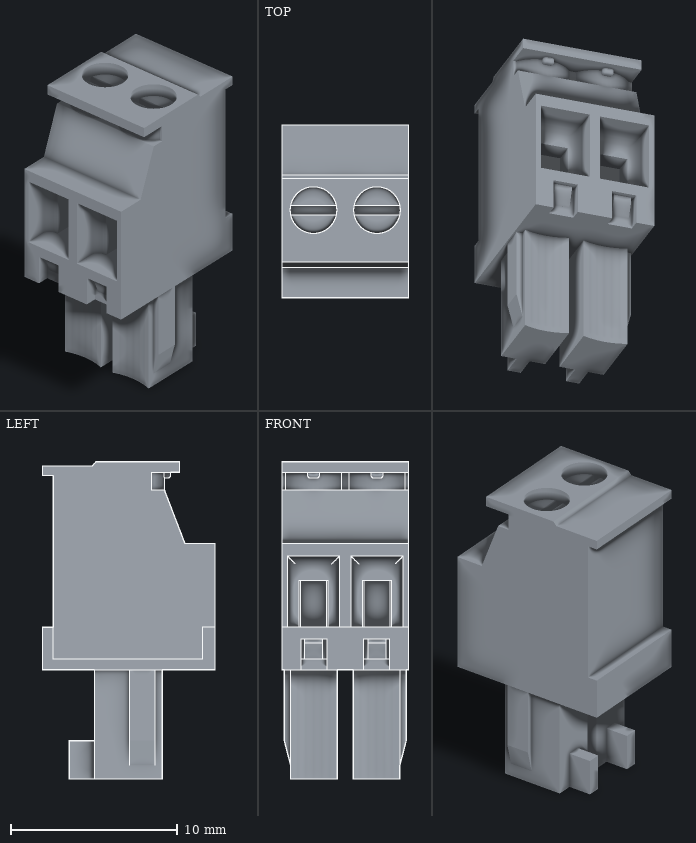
import cadquery as cq
import math


WIDTH = 7.62
DEPTH = 10.4
HEIGHT = 19.1
FRONT = -DEPTH / 2
BACK = DEPTH / 2

POLE_PITCH = 3.82
POLE_XS = (-POLE_PITCH / 2, POLE_PITCH / 2)
LEG_PITCH = 3.76
LEG_XS = (-LEG_PITCH / 2, LEG_PITCH / 2)

TRAY_BOTTOM = 6.57
TRAY_FLOOR = 7.22
TRAY_TOP = 9.15
TRAY_FRONT_WALL = 0.76
TRAY_BACK_WALL = 0.65
TRAY_INNER_FRONT = FRONT + TRAY_FRONT_WALL
TRAY_INNER_BACK = BACK - TRAY_BACK_WALL
WINDOW_WIDTH = 1.55
WINDOW_TOP = 8.45

LEG_WIDTH = 2.83
LEG_FRONT = -2.02
LEG_BACK = 2.06
LEG_FRONT_RADIUS = 4.13
LEG_FRONT_SAG = LEG_FRONT_RADIUS - math.sqrt(LEG_FRONT_RADIUS**2 - (LEG_WIDTH / 2) ** 2)
RIB_FRONT = -1.57
RIB_BACK = -0.04
RIB_THICKNESS = 0.38
RIB_TAPER_TOP = 2.31
RIB_TAPER_BOTTOM = 0.84
FOOT_WIDTH = 0.84
FOOT_HEIGHT = 2.31
FOOT_BACK = 3.6

SHELF_TOP = 14.2
SLOPE_FOOT_Y = -3.38
LEDGE_FRONT = -2.15
LEDGE_TOP = 17.38
TOP_PLATE_FRONT = -3.05
TOP_PLATE_BOTTOM = 18.45
REAR_TOP = 18.85
REAR_STEP_FRONT = 1.97
REAR_STEP_BACK = 2.2
REAR_LIP_BOTTOM = 18.26

SCREW_Y = 0.08
SCREW_DIAMETER = 2.8
SCREW_TOP = 18.37
SCREW_HEIGHT = 1.72
SCREW_EDGE_RADIUS = 0.21
SLOT_WIDTH = 0.57
SLOT_DEPTH = 0.61
SCREW_TOWER_RADIUS = SCREW_Y - LEDGE_FRONT
UNDERCUT_BACK = -1.38

NUB_WIDTH = 0.7
NUB_FRONT = -2.52
NUB_BOTTOM = 18.1
NUB_CORNER_RADIUS = 0.21
NUB_BOTTOM_RADIUS = 0.17

ENTRY_WIDTH = 3.15
ENTRY_TOP = 13.43
ENTRY_BOTTOM_Y = -3.35
ENTRY_RADIUS = 0.57
TERMINAL_WIDTH = 1.74
TERMINAL_TOP = 11.94

TAB_WIDTH = 1.1
TAB_EDGE = 8.17
TAB_REACH = 0.4

CONTACT_SHEET = 0.08
CONTACT_FRONT = LEG_FRONT
CONTACT_BACK = LEG_BACK


def box(x_range, y_range, z_range):
    """Axis-aligned block between three pairs of limits."""
    size = [high - low for low, high in (x_range, y_range, z_range)]
    corner = (x_range[0], y_range[0], z_range[0])
    return cq.Workplane("XY").box(*size, centered=False).translate(corner)


def around(center, width):
    """Limits of a width placed symmetrically about a centre."""
    return center - width / 2, center + width / 2


def side_profile(points, center_x, width):
    """Extrude a (y, z) outline along X, centred on center_x."""
    return (
        cq.Workplane("YZ", origin=(center_x, 0, 0))
        .polyline(points)
        .close()
        .extrude(width / 2, both=True)
    )




def housing_block():
    outline = [
        (TRAY_INNER_BACK, TRAY_FLOOR),
        (TRAY_INNER_FRONT, TRAY_FLOOR),
        (TRAY_INNER_FRONT, TRAY_TOP),
        (FRONT, TRAY_TOP),
        (FRONT, SHELF_TOP),
        (SLOPE_FOOT_Y, SHELF_TOP),
        (LEDGE_FRONT, LEDGE_TOP),
        (UNDERCUT_BACK, LEDGE_TOP),
        (UNDERCUT_BACK, TOP_PLATE_BOTTOM),
        (TOP_PLATE_FRONT, TOP_PLATE_BOTTOM),
        (TOP_PLATE_FRONT, HEIGHT),
        (REAR_STEP_FRONT, HEIGHT),
        (REAR_STEP_BACK, REAR_TOP),
        (BACK, REAR_TOP),
        (BACK, REAR_LIP_BOTTOM),
        (TRAY_INNER_BACK, REAR_LIP_BOTTOM),
    ]
    return side_profile(outline, 0, WIDTH)


def screw_tower(x):
    """Round wall that bulges into the undercut below the top plate."""
    return (
        cq.Workplane("XY", origin=(x, SCREW_Y, LEDGE_TOP))
        .circle(SCREW_TOWER_RADIUS)
        .extrude(TOP_PLATE_BOTTOM - LEDGE_TOP)
        .intersect(
            box((-WIDTH / 2, WIDTH / 2), (FRONT, SCREW_Y), (LEDGE_TOP, TOP_PLATE_BOTTOM))
        )
    )


def plate_nub(x):
    """Nub hanging from the top plate, rooted in the tower and rounded at its free edges."""
    return (
        box(around(x, NUB_WIDTH), (NUB_FRONT, UNDERCUT_BACK), (NUB_BOTTOM, TOP_PLATE_BOTTOM))
        .edges("|Z and <Y")
        .fillet(NUB_CORNER_RADIUS)
        .faces("<Z")
        .edges("not >Y")
        .fillet(NUB_BOTTOM_RADIUS)
    )


def screw_space(x):
    """Access hole above the screw together with the seat that holds it."""
    seat = SCREW_TOP - SCREW_HEIGHT
    return (
        cq.Workplane("XY", origin=(x, SCREW_Y, seat))
        .circle(SCREW_DIAMETER / 2)
        .extrude(HEIGHT - seat)
    )


def wire_entry(x):
    """Pocket with rounded inner edges at the sides and top; its floor edge stays square."""
    return (
        box(around(x, ENTRY_WIDTH), (FRONT, ENTRY_BOTTOM_Y), (TRAY_TOP, ENTRY_TOP))
        .faces(">Y")
        .edges("not <Z")
        .fillet(ENTRY_RADIUS)
    )


def terminal_space(x):
    return box(
        around(x, TERMINAL_WIDTH), (ENTRY_BOTTOM_Y, CONTACT_BACK), (TRAY_TOP, TERMINAL_TOP)
    )


def snap_tab(x):
    """Wedge on the housing front that widens upwards and ends in a short upright face."""
    outline = [
        (TRAY_INNER_FRONT, TRAY_FLOOR),
        (TRAY_INNER_FRONT - TAB_REACH, TAB_EDGE),
        (TRAY_INNER_FRONT - TAB_REACH, WINDOW_TOP),
        (TRAY_INNER_FRONT, WINDOW_TOP),
    ]
    return side_profile(outline, x, TAB_WIDTH)


def make_housing():
    housing = housing_block()
    for x in POLE_XS:
        housing = housing.union(screw_tower(x)).union(plate_nub(x)).union(snap_tab(x))
    for x in POLE_XS:
        housing = housing.cut(screw_space(x)).cut(wire_entry(x)).cut(terminal_space(x))
    return housing




def tray():
    outline = [
        (FRONT, TRAY_BOTTOM),
        (BACK, TRAY_BOTTOM),
        (BACK, TRAY_TOP),
        (TRAY_INNER_BACK, TRAY_TOP),
        (TRAY_INNER_BACK, TRAY_FLOOR),
        (TRAY_INNER_FRONT, TRAY_FLOOR),
        (TRAY_INNER_FRONT, TRAY_TOP),
        (FRONT, TRAY_TOP),
    ]
    return side_profile(outline, 0, WIDTH)


def tray_window(x):
    """Slot through the tray front wall, open at the bottom."""
    return box(around(x, WINDOW_WIDTH), (FRONT, TRAY_INNER_FRONT), (TRAY_BOTTOM, WINDOW_TOP))


def leg(x):
    """Plug leg with a hollow-curved front face."""
    left, right = around(x, LEG_WIDTH)
    return (
        cq.Workplane("XY")
        .moveTo(left, LEG_FRONT)
        .threePointArc((x, LEG_FRONT + LEG_FRONT_SAG), (right, LEG_FRONT))
        .lineTo(right, LEG_BACK)
        .lineTo(left, LEG_BACK)
        .close()
        .extrude(TRAY_BOTTOM)
    )


def leg_foot(x):
    return box(around(x, FOOT_WIDTH), (LEG_BACK, FOOT_BACK), (0, FOOT_HEIGHT))


def outer_rib(x):
    """Guide rib on the outer side of a leg, tapering into it near the lower end."""
    outward = math.copysign(1, x)
    root = x + outward * LEG_WIDTH / 2
    crest = root + outward * RIB_THICKNESS
    return (
        cq.Workplane("XZ", origin=(0, RIB_BACK, 0))
        .moveTo(root, TRAY_BOTTOM)
        .lineTo(crest, TRAY_BOTTOM)
        .lineTo(crest, RIB_TAPER_TOP)
        .lineTo(root, RIB_TAPER_BOTTOM)
        .close()
        .extrude(RIB_BACK - RIB_FRONT)
    )


def make_base():
    base = tray()
    for x in LEG_XS:
        base = base.cut(tray_window(x))
        base = base.union(leg(x)).union(leg_foot(x)).union(outer_rib(x))
    return base




def make_screw(x):
    """Slotted cylindrical screw with a rounded top edge."""
    slot = box(
        around(x, SCREW_DIAMETER),
        around(SCREW_Y, SLOT_WIDTH),
        (SCREW_TOP - SLOT_DEPTH, SCREW_TOP),
    )
    return (
        cq.Workplane("XY", origin=(x, SCREW_Y, SCREW_TOP - SCREW_HEIGHT))
        .circle(SCREW_DIAMETER / 2)
        .extrude(SCREW_HEIGHT)
        .faces(">Z")
        .edges()
        .fillet(SCREW_EDGE_RADIUS)
        .cut(slot)
    )


def make_clamp(x):
    """Clamp block that fills the inside of its contact."""
    return box(
        around(x, TERMINAL_WIDTH - 2 * CONTACT_SHEET),
        (CONTACT_FRONT, CONTACT_BACK - CONTACT_SHEET),
        (TRAY_TOP, TERMINAL_TOP),
    )


def make_contact(x):
    """U-shaped sheet along both sides and the back of the clamp."""
    shell = box(
        around(x, TERMINAL_WIDTH), (CONTACT_FRONT, CONTACT_BACK), (TRAY_TOP, TERMINAL_TOP)
    )
    return shell.cut(make_clamp(x))


housing = make_housing()
base = make_base()
screws = [make_screw(x) for x in POLE_XS]
clamps = [make_clamp(x) for x in POLE_XS]
contacts = [make_contact(x) for x in POLE_XS]

bodies = [housing, base, *screws, *clamps, *contacts]
result = cq.Compound.makeCompound([body.solids().val() for body in bodies])